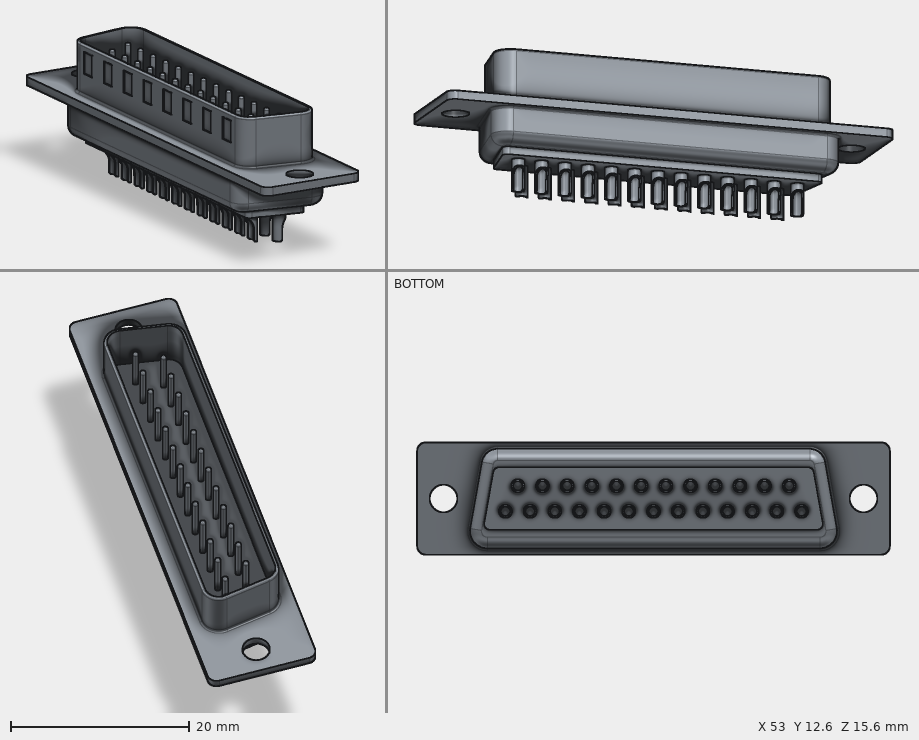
import cadquery as cq
import math

FLANGE_LENGTH = 53.0
FLANGE_WIDTH = 12.6
FLANGE_THICKNESS = 1.0
FLANGE_CORNER_RADIUS = 1.0
MOUNT_HOLE_DIAMETER = 3.1
MOUNT_HOLE_SPACING = 47.05

SHELL_TOP = 6.9
SOCKET_FLOOR = 0.65
HOUSING_BOTTOM = -4.2
STEP_BOTTOM = -5.1
CUP_BOTTOM = -8.65
PIN_TOP = 6.1

SIDE_ANGLE = math.radians(10)
SHELL_HALF_LENGTH = 19.95
SHELL_HALF_WIDTH = 4.6
SHELL_CORNER_RADIUS = 1.95
SHELL_WALL = 0.35
RIM_RADIUS = 0.2
HOUSING_HALF_LENGTH = 20.55
HOUSING_HALF_WIDTH = 5.55
HOUSING_BACK_RADIUS = 1.9
HOUSING_FRONT_RADIUS = 1.75
HOUSING_EDGE_RADIUS = 1.25
STEP_HALF_LENGTH = 19.0
STEP_HALF_WIDTH = 3.5
STEP_CORNER_RADIUS = 0.65
ROOT_RADIUS = 0.25

DIMPLE_COUNT = 8
DIMPLE_PITCH = 4.35
DIMPLE_WIDTH = 1.8
DIMPLE_HEIGHT = 2.55
DIMPLE_DEPTH = 0.15
DIMPLE_CENTRE_Z = 4.75

BACK_ROW_COUNT = 13
FRONT_ROW_COUNT = BACK_ROW_COUNT - 1
BACK_ROW_LENGTH = 33.2
CONTACT_PITCH = BACK_ROW_LENGTH / (BACK_ROW_COUNT - 1)
ROW_Y = 1.45
PIN_RADIUS = 0.3
PIN_TIP_RADIUS = 0.2
CUP_RADIUS = 0.75
CUP_BORE_RADIUS = 0.55
CUP_OPENING_HEIGHT = 2.75
CUP_STRAIGHT_HEIGHT = 1.55
CUP_LIP_CHAMFER = 0.2


def d_prism(half_length, half_width, back_radius, front_radius, z_low, z_high):
    """Prism with a rounded trapezoid outline, longest on its +Y (back) side."""
    touch_x = half_length - back_radius + back_radius * math.cos(SIDE_ANGLE)
    touch_y = half_width - back_radius - back_radius * math.sin(SIDE_ANGLE)
    back_x = touch_x + (half_width - touch_y) * math.tan(SIDE_ANGLE)
    front_x = back_x - 2 * half_width * math.tan(SIDE_ANGLE)
    corners = [
        (-front_x, -half_width),
        (front_x, -half_width),
        (back_x, half_width),
        (-back_x, half_width),
    ]
    outline = cq.Workplane("XY").workplane(offset=z_low).polyline(corners).close()
    prism = outline.extrude(z_high - z_low)
    prism = prism.edges("|Z and >Y").fillet(back_radius)
    return prism.edges("|Z and <Y").fillet(front_radius)


def cylinder(radius, z_low, z_high):
    return cq.Workplane("XY").workplane(offset=z_low).circle(radius).extrude(z_high - z_low)


def flange():
    plate = cq.Workplane("XY").rect(FLANGE_LENGTH, FLANGE_WIDTH).extrude(FLANGE_THICKNESS)
    plate = plate.edges("|Z").fillet(FLANGE_CORNER_RADIUS)
    half_spacing = MOUNT_HOLE_SPACING / 2
    hole_centres = [(-half_spacing, 0), (half_spacing, 0)]
    return plate.faces(">Z").workplane().pushPoints(hole_centres).hole(MOUNT_HOLE_DIAMETER)


def root_edges(body, z):
    """Edges around the foot of the shell or housing where it meets the flange at height z."""
    reach_x = HOUSING_HALF_LENGTH + ROOT_RADIUS
    reach_y = HOUSING_HALF_WIDTH + ROOT_RADIUS
    reach_z = ROOT_RADIUS / 2
    low_corner = (-reach_x, -reach_y, z - reach_z)
    high_corner = (reach_x, reach_y, z + reach_z)
    return body.edges(cq.selectors.BoxSelector(low_corner, high_corner))


def metal_shell():
    """Flange with the D-shaped shell above it and the rounded housing below it."""
    shell = d_prism(
        SHELL_HALF_LENGTH, SHELL_HALF_WIDTH, SHELL_CORNER_RADIUS, SHELL_CORNER_RADIUS, 0, SHELL_TOP
    )
    shell = shell.faces(">Z").edges().fillet(RIM_RADIUS)
    housing = d_prism(
        HOUSING_HALF_LENGTH,
        HOUSING_HALF_WIDTH,
        HOUSING_BACK_RADIUS,
        HOUSING_FRONT_RADIUS,
        HOUSING_BOTTOM,
        FLANGE_THICKNESS,
    )
    housing = housing.faces("<Z").edges().fillet(HOUSING_EDGE_RADIUS)
    body = flange().union(housing).union(shell)
    body = root_edges(body, FLANGE_THICKNESS).fillet(ROOT_RADIUS)
    body = root_edges(body, 0).fillet(ROOT_RADIUS)
    socket_radius = SHELL_CORNER_RADIUS - SHELL_WALL
    socket = d_prism(
        SHELL_HALF_LENGTH - SHELL_WALL,
        SHELL_HALF_WIDTH - SHELL_WALL,
        socket_radius,
        socket_radius,
        SOCKET_FLOOR,
        SHELL_TOP,
    )
    return body.cut(socket)


def dimples():
    first_x = -DIMPLE_PITCH * (DIMPLE_COUNT - 1) / 2
    centres = [(first_x + i * DIMPLE_PITCH, DIMPLE_CENTRE_Z) for i in range(DIMPLE_COUNT)]
    face = cq.Workplane("XZ", origin=(0, -SHELL_HALF_WIDTH, 0)).pushPoints(centres)
    return face.rect(DIMPLE_WIDTH, DIMPLE_HEIGHT).extrude(-DIMPLE_DEPTH)


def contact():
    """Contact on the Z axis: a pin above, a solder cup opening towards -Y below."""
    pin = cylinder(PIN_RADIUS, STEP_BOTTOM, PIN_TOP).faces(">Z").edges().fillet(PIN_TIP_RADIUS)
    cup = cylinder(CUP_RADIUS, CUP_BOTTOM, HOUSING_BOTTOM)
    bore = cylinder(CUP_BORE_RADIUS, CUP_BOTTOM, STEP_BOTTOM)

    opening = (
        cq.Workplane("YZ", origin=(-CUP_RADIUS, 0, CUP_BOTTOM))
        .moveTo(CUP_LIP_CHAMFER, 0)
        .lineTo(0, CUP_LIP_CHAMFER)
        .lineTo(0, CUP_STRAIGHT_HEIGHT)
        .tangentArcPoint((-CUP_RADIUS, CUP_OPENING_HEIGHT), relative=False)
        .lineTo(-CUP_RADIUS, 0)
        .close()
        .extrude(2 * CUP_RADIUS)
    )
    return pin.union(cup.cut(bore).cut(opening))


def contact_row(template, count, y):
    first_x = -CONTACT_PITCH * (count - 1) / 2
    row = cq.Workplane("XY")
    for i in range(count):
        row = row.add(template.translate((first_x + i * CONTACT_PITCH, y, 0)))
    return row


step = d_prism(
    STEP_HALF_LENGTH, STEP_HALF_WIDTH, STEP_CORNER_RADIUS, STEP_CORNER_RADIUS, STEP_BOTTOM, HOUSING_BOTTOM
)
result = metal_shell().cut(dimples()).union(step)

front_contact = contact()
back_contact = front_contact.mirror("XZ")
contacts = contact_row(front_contact, FRONT_ROW_COUNT, -ROW_Y)
contacts = contacts.add(contact_row(back_contact, BACK_ROW_COUNT, ROW_Y))
for item in contacts.vals():
    result = result.union(cq.Workplane(item))